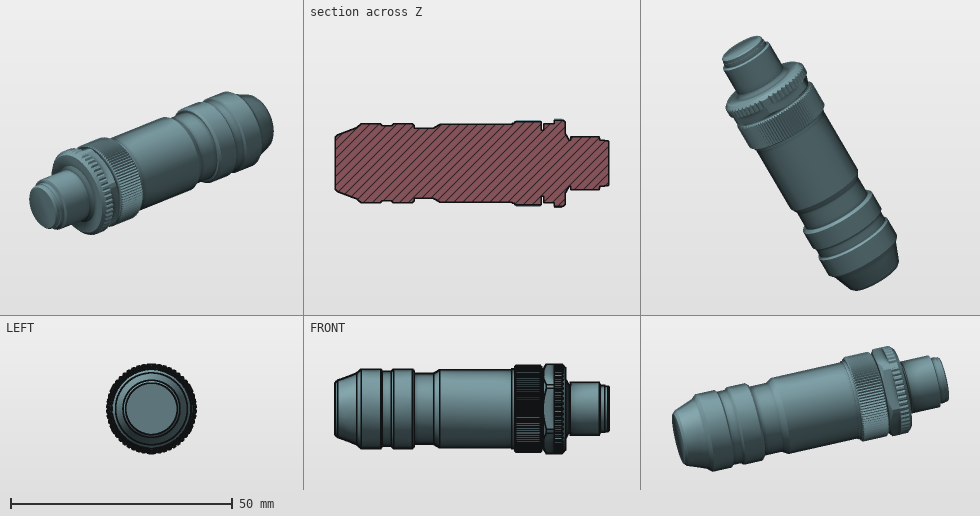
import cadquery as cq
import math


NOSE_END_X = 5.0
NOSE_FACE_RADIUS = 5.8
NOSE_START_RADIUS = 6.45
NOSE_END_RADIUS = 8.1
NOSE_EDGE = 0.6
COLLAR_RADIUS = 18 / 2
COLLAR_GROOVE_RADIUS = 17.0 / 2
REAR_COLLAR_X = (5.95, 10.35)
COLLAR_GROOVE_X = (10.7, 12.8)
FRONT_COLLAR_X = (13.25, 17.5)
CAP_END_X = 18.0

NECK_RADIUS = 16.0 / 2
NECK_END_X = 22.3
HOUSING_START_X = 23.75
HOUSING_RADIUS = 17.7 / 2
HOUSING_END_X = 40.0

SLEEVE_LIP_RADIUS = 9.05
SLEEVE_X = (40.6, 46.75)
SLEEVE_RADIUS = 9.8
SLEEVE_ROOT_RADIUS = 9.4
SLEEVE_EDGE = 0.4
SLEEVE_TEETH = 96

CORE_RADIUS = 15.0 / 2

NUT_RADIUS = 10.1
NUT_ACROSS_FLATS = 18.0
NUT_X = (47.1, 52.15)
NUT_REAR_EDGE_LENGTH = 0.7
NUT_REAR_FACE_RADIUS = 9.05
NUT_FRONT_EDGE = 0.85
GRIP_START_X = 49.55
GRIP_TEETH = 52
GRIP_TIP_CLEARANCE = 0.03
GRIP_ROOT_RADIUS = 9.75
GRIP_TIP_SHARE = 0.4
GRIP_LAND_WIDTH = 0.9

FLARE_RADIUS = 6.7
PLUG_GROOVE_RADIUS = 10.6 / 2
PLUG_GROOVE_X = (52.95, 53.2)
PLUG_RADIUS = 12.0 / 2
PLUG_END_X = 59.7
SPIGOT_START_X = 59.95
SPIGOT_RADIUS = 10.6 / 2
TIP_START_X = 60.95
TIP_RADIUS = 10.3 / 2
TIP_EDGE = 0.3
TOTAL_LENGTH = 62.0


def revolve_about_x(profile):
    """Turn a list of (x, radius) points into a solid of revolution about X."""
    start_x = profile[0][0]
    end_x = profile[-1][0]
    points = [(start_x, 0)] + profile + [(end_x, 0)]
    return cq.Workplane("XY").polyline(points).close().revolve(360, (0, 0, 0), (1, 0, 0))


def toothed_prism(teeth, tip_radius, root_radius, tip_share, start_x, end_x):
    """Prism along X with tapered teeth; a tooth gap is centred on the +Y axis."""
    pitch = 2 * math.pi / teeth
    half_tip = pitch * tip_share / 2
    points = []
    for tooth in range(teeth):
        middle = (tooth + 0.5) * pitch
        corners = [(root_radius, middle - pitch / 2)]
        if half_tip > 0:
            corners += [(tip_radius, middle - half_tip), (tip_radius, middle + half_tip)]
        else:
            corners += [(tip_radius, middle)]
        points += [(r * math.cos(angle), r * math.sin(angle)) for r, angle in corners]
    plane = cq.Workplane("YZ", origin=(start_x, 0, 0))
    return plane.polyline(points).close().extrude(end_x - start_x)


def make_turned_core():
    return revolve_about_x([
        (0, NOSE_FACE_RADIUS),
        (NOSE_EDGE, NOSE_START_RADIUS),
        (NOSE_END_X, NOSE_END_RADIUS),
        (REAR_COLLAR_X[0], COLLAR_RADIUS),
        (REAR_COLLAR_X[1], COLLAR_RADIUS),
        (COLLAR_GROOVE_X[0], COLLAR_GROOVE_RADIUS),
        (COLLAR_GROOVE_X[1], COLLAR_GROOVE_RADIUS),
        (FRONT_COLLAR_X[0], COLLAR_RADIUS),
        (FRONT_COLLAR_X[1], COLLAR_RADIUS),
        (CAP_END_X, COLLAR_GROOVE_RADIUS),
        (CAP_END_X, NECK_RADIUS),
        (NECK_END_X, NECK_RADIUS),
        (HOUSING_START_X, HOUSING_RADIUS),
        (HOUSING_END_X, HOUSING_RADIUS),
        (HOUSING_END_X, SLEEVE_LIP_RADIUS),
        (SLEEVE_X[0], SLEEVE_LIP_RADIUS),
        (SLEEVE_X[0], CORE_RADIUS),
        (NUT_X[1], CORE_RADIUS),
        (NUT_X[1], FLARE_RADIUS),
        (PLUG_GROOVE_X[0], PLUG_GROOVE_RADIUS),
        (PLUG_GROOVE_X[1], PLUG_GROOVE_RADIUS),
        (PLUG_GROOVE_X[1], PLUG_RADIUS),
        (PLUG_END_X, PLUG_RADIUS),
        (SPIGOT_START_X, SPIGOT_RADIUS),
        (TIP_START_X, SPIGOT_RADIUS),
        (TIP_START_X, TIP_RADIUS),
        (TOTAL_LENGTH - TIP_EDGE, TIP_RADIUS),
        (TOTAL_LENGTH, TIP_RADIUS - TIP_EDGE),
    ])


def make_sleeve():
    start_x, end_x = SLEEVE_X
    edge_radius = SLEEVE_RADIUS - SLEEVE_EDGE
    envelope = revolve_about_x([
        (start_x, edge_radius),
        (start_x + SLEEVE_EDGE, SLEEVE_RADIUS),
        (end_x - SLEEVE_EDGE, SLEEVE_RADIUS),
        (end_x, edge_radius),
    ])
    teeth = toothed_prism(SLEEVE_TEETH, SLEEVE_RADIUS, SLEEVE_ROOT_RADIUS, 0, start_x, end_x)
    return envelope.intersect(teeth)


def make_nut():
    start_x, end_x = NUT_X
    envelope = revolve_about_x([
        (start_x, NUT_REAR_FACE_RADIUS),
        (start_x + NUT_REAR_EDGE_LENGTH, NUT_RADIUS),
        (end_x - NUT_FRONT_EDGE, NUT_RADIUS),
        (end_x, NUT_RADIUS - NUT_FRONT_EDGE),
    ])
    corner_diameter = NUT_ACROSS_FLATS / math.cos(math.pi / 6)
    plane = cq.Workplane("YZ", origin=(start_x, 0, 0))
    hexagon = plane.transformed(rotate=(0, 0, 90)).polygon(6, corner_diameter).extrude(GRIP_START_X - start_x)
    tip_radius = NUT_RADIUS - GRIP_TIP_CLEARANCE
    grip = toothed_prism(GRIP_TEETH, tip_radius, GRIP_ROOT_RADIUS, GRIP_TIP_SHARE, GRIP_START_X, end_x)
    land_plane = cq.Workplane("YZ", origin=(GRIP_START_X, 0, 0))
    lands = land_plane.rect(GRIP_LAND_WIDTH, 2 * NUT_RADIUS).extrude(end_x - GRIP_START_X)
    return hexagon.union(grip).union(lands).intersect(envelope)


result = make_turned_core().union(make_sleeve()).union(make_nut())